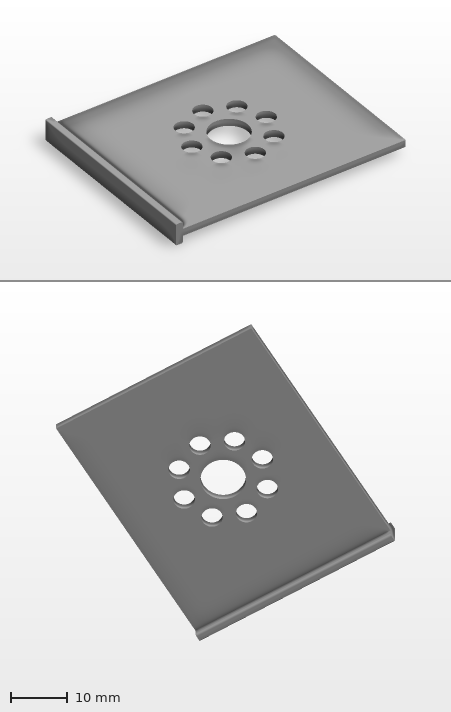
import cadquery as cq

width = 40.0
length = 49.5
plate_thickness = 1.5
flange_height = 4.5
flange_thickness = 1.55
front_fillet = 0.2
rear_fillet = 0.4
center_hole_diameter = 8.0
small_hole_diameter = 3.75
small_hole_count = 8
bolt_circle_radius = 8.0

plate_length = length - flange_thickness
hole_center_y = plate_length / 2


def make_plate():
    """Flat plate, centred on Z = 0 and reaching through the flange."""
    plate = cq.Workplane("XY").box(width, length, plate_thickness)
    return plate.translate((0, length / 2 - flange_thickness, 0))


def make_flange():
    """Upright bar along the front edge, with its long edges rounded."""
    bar = cq.Workplane("XY").box(width, flange_thickness, flange_height)
    bar = bar.faces("<Y").edges("|X").fillet(front_fillet)
    bar = bar.faces(">Y").edges("|X").fillet(rear_fillet)
    return bar.translate((0, -flange_thickness / 2, 0))


def make_hole_cutter():
    """Central bore and the ring of small holes around it."""
    plane = cq.Workplane("XY", origin=(0, hole_center_y, -plate_thickness / 2))
    bore = plane.circle(center_hole_diameter / 2).extrude(plate_thickness)
    ring = (
        plane.polarArray(bolt_circle_radius, 0, 360, small_hole_count)
        .circle(small_hole_diameter / 2)
        .extrude(plate_thickness)
    )
    return bore.union(ring)


result = make_plate().cut(make_hole_cutter())
result = result.union(make_flange())